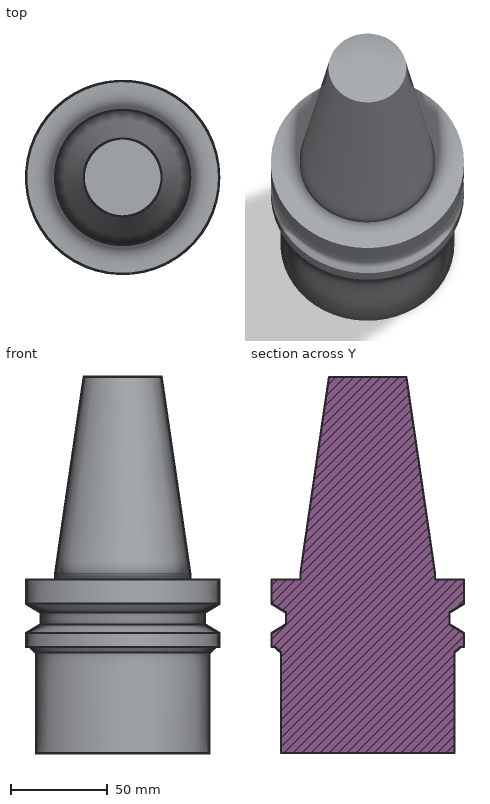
import cadquery as cq

body_diameter = 90.0
flange_diameter = 100.0
groove_diameter = 85.0
gauge_diameter = 70.0
flange_neck_diameter = 96.0

total_height = 194.8
flange_top = 90.0
flange_bottom = 55.0
gauge_gap = 3.0
neck_height = 3.0
groove_center = 69.7
groove_floor_width = 6.0
groove_mouth_width = 15.2

taper_rate = 7 / 24
gauge_height = flange_top + gauge_gap
small_diameter = gauge_diameter - taper_rate * (total_height - gauge_height)

section = [
    (0, 0),
    (body_diameter, 0),
    (body_diameter, flange_bottom - neck_height),
    (flange_neck_diameter, flange_bottom),
    (flange_diameter, flange_bottom),
    (flange_diameter, groove_center - groove_mouth_width / 2),
    (groove_diameter, groove_center - groove_floor_width / 2),
    (groove_diameter, groove_center + groove_floor_width / 2),
    (flange_diameter, groove_center + groove_mouth_width / 2),
    (flange_diameter, flange_top),
    (gauge_diameter, flange_top),
    (gauge_diameter, gauge_height),
    (small_diameter, total_height),
    (0, total_height),
]

result = (
    cq.Workplane("XZ")
    .polyline([(diameter / 2, height) for diameter, height in section])
    .close()
    .revolve(360, (0, 0), (0, 1))
)